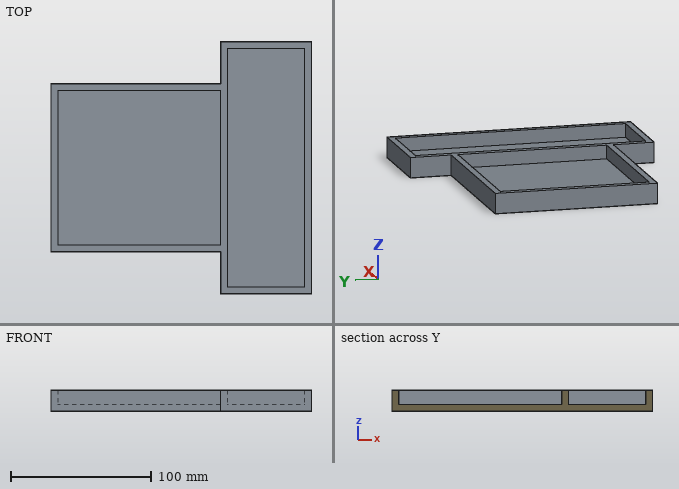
import cadquery as cq

length = 186.0
width = 180.0
height = 15.0

wall = 5.0
floor = 5.0
long_tray_length = 65.0
square_tray_width = 120.0
square_tray_length = length - long_tray_length


def block(x_start, x_end, y_size, z_start):
    """Box centred on Y, reaching from z_start to the rim."""
    return (
        cq.Workplane("XY")
        .box(x_end - x_start, y_size, height - z_start, centered=(False, True, False))
        .translate((x_start, 0, z_start))
    )


square_body = block(0, square_tray_length, square_tray_width, 0)
long_body = block(square_tray_length, length, width, 0)

square_pocket = block(wall, square_tray_length, square_tray_width - 2 * wall, floor)
long_pocket = block(square_tray_length + wall, length - wall, width - 2 * wall, floor)

result = square_body.union(long_body).cut(square_pocket).cut(long_pocket)